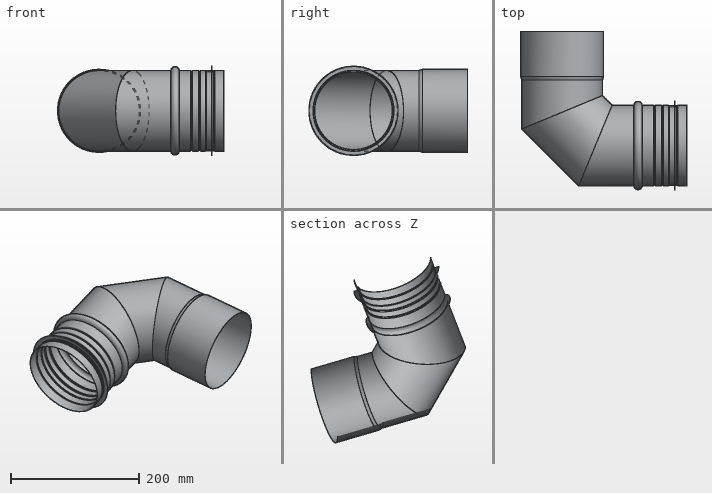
import cadquery as cq
import math


wall = 0.5
pipe_radius = 126.7 / 2
bore_radius = pipe_radius - wall

corner_distance = 52.0
gore_angle = 45.0
miter_angle = gore_angle / 2
bend_radius = corner_distance / (1 - math.tan(math.radians(miter_angle)))
cutter_reach = 780.3

overall_length = 260.0
overall_width = 248.1
socket_radius = 65.0
socket_length = 70.5
cone_length = 5.2

spigot_end = overall_length - socket_radius
bead_position = 118.5
bead_radius = 6.8
bead_crest_radius = 69.2
bead_centre_radius = bead_crest_radius - bead_radius
groove_floor_radius = 122.0 / 2
groove_edge_radius = 1.5
narrow_groove_width = 5.2
narrow_groove_starts = [141.8, 154.2]
seal_groove_start = 165.0
seal_groove_end = 181.8

seal_radius = 125.5 / 2
seal_clearance = 1.5
seal_start = seal_groove_start + groove_edge_radius + seal_clearance
seal_end = seal_groove_end - groove_edge_radius - seal_clearance
lip_radius = 139.7 / 2
lip_position = 176.0
lip_thickness = 0.8

socket_end = overall_width - lip_radius
socket_start = socket_end - socket_length
cone_start = socket_start - cone_length
spigot_start = bead_position - math.sqrt(bead_radius**2 - (pipe_radius - bead_centre_radius) ** 2)


def sector(start_angle, end_angle):
    """Wedge of space around the bend centre, between two angles in degrees from +X."""
    points = [(0, 0)]
    for angle in (start_angle, (start_angle + end_angle) / 2, end_angle):
        direction = math.radians(angle)
        points.append((cutter_reach * math.cos(direction), cutter_reach * math.sin(direction)))
    return (
        cq.Workplane("XY")
        .center(bend_radius, bend_radius)
        .polyline(points)
        .close()
        .extrude(pipe_radius * 2, both=True)
    )


def revolve_about_x(profile):
    return profile.close().revolve(360, (0, 0, 0), (1, 0, 0))


def make_socket_gore():
    """End gore that widens through a short cone into the socket."""
    tube = (
        cq.Workplane("XY")
        .moveTo(pipe_radius, 0)
        .lineTo(pipe_radius, cone_start)
        .lineTo(socket_radius, socket_start)
        .lineTo(socket_radius, socket_end)
        .lineTo(socket_radius - wall, socket_end)
        .lineTo(socket_radius - wall, socket_start)
        .lineTo(bore_radius, cone_start)
        .lineTo(bore_radius, 0)
        .close()
        .revolve(360, (0, 0, 0), (0, 1, 0))
    )
    return tube.intersect(sector(90, 180 + miter_angle))


def make_middle_gore():
    """Oblique gore, mitered at both ends."""
    axis_start = (-corner_distance, 2 * corner_distance, 0)
    axis_plane = cq.Plane(origin=axis_start, xDir=(0, 0, 1), normal=(1, -1, 0))
    tube = (
        cq.Workplane(axis_plane)
        .circle(pipe_radius)
        .circle(bore_radius)
        .extrude(overall_length)
    )
    return tube.intersect(sector(180 + miter_angle, 270 - miter_angle))


def make_spigot_gore():
    """End gore that carries the spigot."""
    tube = cq.Workplane("YZ").circle(pipe_radius).circle(bore_radius).extrude(spigot_start)
    return tube.intersect(sector(270 - miter_angle, 360))


def add_bead(profile, skin):
    """Round bead at a depth `skin` below the outside."""
    radius = bead_radius - skin
    surface = pipe_radius - skin
    half_width = math.sqrt(radius**2 - (surface - bead_centre_radius) ** 2)
    return profile.lineTo(bead_position - half_width, surface).threePointArc(
        (bead_position, bead_crest_radius - skin), (bead_position + half_width, surface)
    )


def add_groove(profile, start, end, skin):
    """Groove with rounded edges and straight side walls, at a depth `skin` below the outside."""
    radius = groove_edge_radius - skin
    diagonal = radius * math.sqrt(0.5)
    surface = pipe_radius - skin
    floor = groove_floor_radius - skin
    arc_centre = pipe_radius - groove_edge_radius
    return (
        profile.lineTo(start, surface)
        .threePointArc((start + diagonal, arc_centre + diagonal), (start + radius, arc_centre))
        .lineTo(start + radius, floor)
        .lineTo(end - radius, floor)
        .lineTo(end - radius, arc_centre)
        .threePointArc((end - diagonal, arc_centre + diagonal), (end, surface))
    )


def spigot_form(skin):
    """Solid of revolution bounded by the spigot surface at a depth `skin` below the outside."""
    surface = pipe_radius - skin
    profile = cq.Workplane("XY").moveTo(spigot_start, 0)
    if skin > 0:
        profile = profile.lineTo(spigot_start, surface)
    profile = add_bead(profile, skin)
    for start in narrow_groove_starts:
        profile = add_groove(profile, start, start + narrow_groove_width, skin)
    profile = add_groove(profile, seal_groove_start, seal_groove_end, skin)
    return revolve_about_x(profile.lineTo(spigot_end, surface).lineTo(spigot_end, 0))


def make_spigot():
    """Rolled sheet end with a stop bead, two narrow grooves and the wide seal groove."""
    return spigot_form(0).cut(spigot_form(wall))


def make_seal():
    """Flat band in the wide groove with one thin lip standing out."""
    lip_start = lip_position - lip_thickness / 2
    lip_end = lip_position + lip_thickness / 2
    profile = (
        cq.Workplane("XY")
        .moveTo(seal_start, groove_floor_radius)
        .lineTo(seal_start, seal_radius)
        .lineTo(lip_start, seal_radius)
        .lineTo(lip_start, lip_radius)
        .lineTo(lip_end, lip_radius)
        .lineTo(lip_end, seal_radius)
        .lineTo(seal_end, seal_radius)
        .lineTo(seal_end, groove_floor_radius)
    )
    return revolve_about_x(profile)


socket_gore = make_socket_gore()
middle_gore = make_middle_gore()
spigot_gore = make_spigot_gore()
spigot = make_spigot()
seal = make_seal()

result = cq.Compound.makeCompound(
    [socket_gore.val(), middle_gore.val(), spigot_gore.val(), spigot.val(), seal.val()]
)